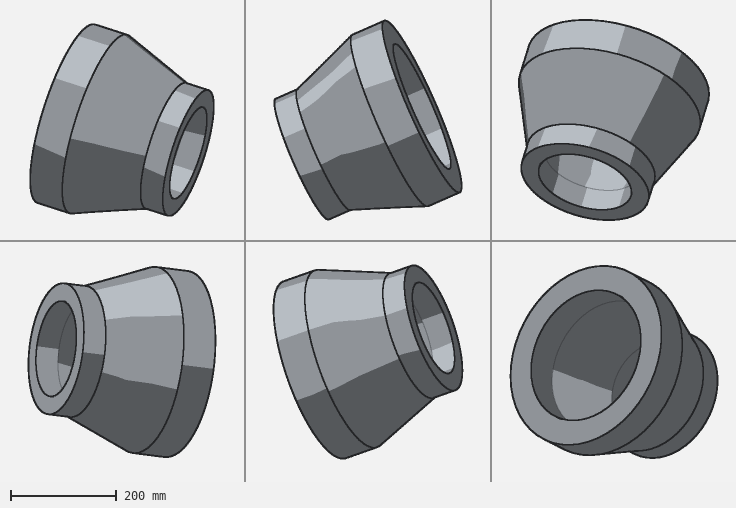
import cadquery as cq

total_length = 250.0
wide_length = 66.0
narrow_length = 45.5
wide_outer_diameter = 355.0
wide_bore_diameter = 258.0
narrow_outer_diameter = 250.0
narrow_bore_diameter = 181.8

cone_end = total_length - narrow_length


def reducer_body(wide_diameter, narrow_diameter):
    """Solid of revolution: wide cylinder, cone, narrow cylinder."""
    wide_radius = wide_diameter / 2
    narrow_radius = narrow_diameter / 2
    return (
        cq.Workplane("XY")
        .moveTo(0, 0)
        .lineTo(0, wide_radius)
        .lineTo(wide_length, wide_radius)
        .lineTo(cone_end, narrow_radius)
        .lineTo(total_length, narrow_radius)
        .lineTo(total_length, 0)
        .close()
        .revolve(360, (0, 0, 0), (1, 0, 0))
    )


outside = reducer_body(wide_outer_diameter, narrow_outer_diameter)
bore = reducer_body(wide_bore_diameter, narrow_bore_diameter)
result = outside.cut(bore)